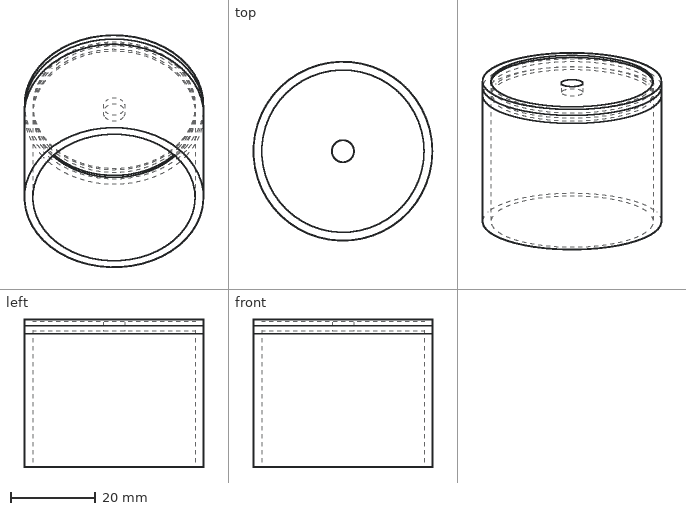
import cadquery as cq

outer_diameter = 42.4
total_height = 35.0

cap_rim_height = 1.5
collar_height = 2.0
housing_height = total_height - cap_rim_height - collar_height

bore_diameter = 38.4

recess_depth = 0.5
panel_thickness = 2.25
cap_hole_diameter = 5.17


def make_tube(height, base_z):
    """Open tube with the shared outer and bore diameters."""
    return (
        cq.Workplane("XY", origin=(0, 0, base_z))
        .circle(outer_diameter / 2)
        .circle(bore_diameter / 2)
        .extrude(height)
    )


def make_housing():
    """Long tube that forms the lower part."""
    return make_tube(housing_height, 0)


def make_collar():
    """Short ring between the housing and the cap rim."""
    return make_tube(collar_height, housing_height)


def make_cap():
    """Rim carrying a sunken panel that plugs into the collar, with a central hole."""
    rim = make_tube(cap_rim_height, housing_height + collar_height)
    panel_base = total_height - recess_depth - panel_thickness
    panel = (
        cq.Workplane("XY", origin=(0, 0, panel_base))
        .circle(bore_diameter / 2)
        .circle(cap_hole_diameter / 2)
        .extrude(panel_thickness)
    )
    return rim.union(panel)


housing = make_housing()
collar = make_collar()
cap = make_cap()

result = cq.Compound.makeCompound([housing.val(), collar.val(), cap.val()])